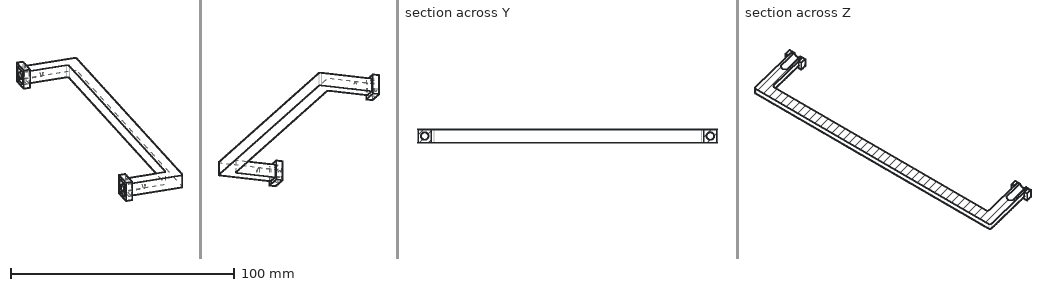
import cadquery as cq
import math

LENGTH = 137.0
DEPTH = 28.0

BAR = 6.0
CORNER_RADIUS = 1.0

COLLAR = 9.0
COLLAR_THICKNESS = 3.0

HOLE_DIAMETER = 3.3
HOLE_DEPTH = 10.0
DRILL_TIP_ANGLE = 118.0

LEG_X = (LENGTH - COLLAR) / 2
LEG_POSITIONS = (-LEG_X, LEG_X)
OUTER_WIDTH = 2 * LEG_X + BAR
INNER_WIDTH = 2 * LEG_X - BAR
INNER_DEPTH = DEPTH - BAR


def block_from_face(width, depth, height, x=0.0):
    """Block reaching from the mounting face to the given depth."""
    return cq.Workplane("XY").box(width, depth, height).translate((x, depth / 2, 0))


def make_screw_hole(x):
    """Cutter for a blind hole with a conical end, running along +Y."""
    radius = HOLE_DIAMETER / 2
    tip = radius / math.tan(math.radians(DRILL_TIP_ANGLE / 2))
    half_section = [(0, 0), (radius, 0), (radius, HOLE_DEPTH), (0, HOLE_DEPTH + tip)]
    cutter = cq.Workplane("XY").polyline(half_section).close().revolve(360, (0, 0), (0, 1))
    return cutter.translate((x, 0, 0))


def make_handle():
    """U-shaped square bar with rounded bends and a screw hole in each foot."""
    outer = block_from_face(OUTER_WIDTH, DEPTH, BAR)
    outer = outer.faces(">Y").edges("|Z").fillet(CORNER_RADIUS)
    opening = block_from_face(INNER_WIDTH, INNER_DEPTH, BAR)
    opening = opening.faces(">Y").edges("|Z").fillet(CORNER_RADIUS)
    handle = outer.cut(opening)
    for x in LEG_POSITIONS:
        handle = handle.cut(make_screw_hole(x))
    return handle


def make_collar(x):
    """Square ring fitting around one foot, flush with the mounting face."""
    plate = block_from_face(COLLAR, COLLAR_THICKNESS, COLLAR, x)
    window = block_from_face(BAR, COLLAR_THICKNESS, BAR, x)
    return plate.cut(window)


handle = make_handle()
collars = [make_collar(x) for x in LEG_POSITIONS]

result = cq.Compound.makeCompound([handle.val(), *[collar.val() for collar in collars]])